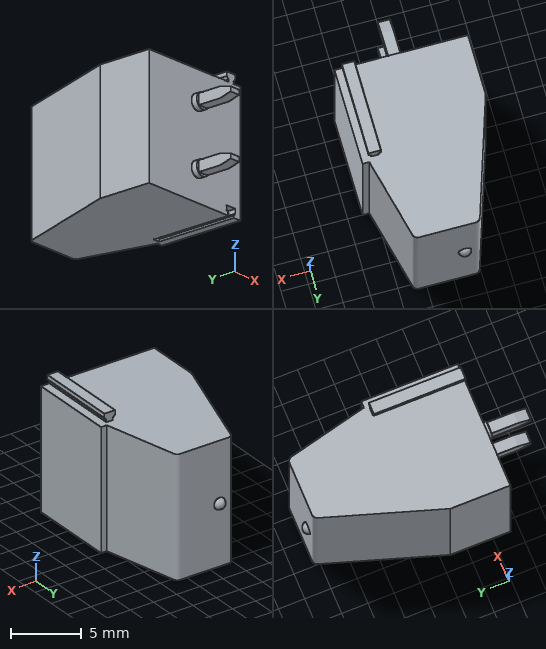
import cadquery as cq

width = 9.8
depth = 13.8
height = 10.16
left_wall_depth = 4.58
right_wall_depth = 7.38
right_ledge = 0.5
back_left_x = 3.01
back_right_x = 7.79
back_corner_radius = 0.4

dovetail_x = 8.8
dovetail_length = 7.01
dovetail_height = 0.75
dovetail_neck_width = 0.57
dovetail_head_width = 0.92
dovetail_neck_height = 0.18
dovetail_head_start = 0.39

pin_x = 5.2
pin_count = 2
pin_pitch = height / pin_count
pin_size = 0.9
pin_length = 3.5
pin_taper_start = 2.51
pin_tip_height = 0.39
collar_diameter = 1.31
collar_length = 0.5

knob_x = 4.09
knob_radius = 0.48
knob_height = 0.39

overlap = 0.18


def make_housing():
    outline = [
        (0, 0),
        (width, 0),
        (width, right_wall_depth),
        (width - right_ledge, right_wall_depth),
        (back_right_x, depth),
        (back_left_x, depth),
        (0, left_wall_depth),
    ]
    body = cq.Workplane("XY").polyline(outline).close().extrude(height)
    return body.edges("|Z and >Y").fillet(back_corner_radius)


def make_dovetail(base_z):
    """Dovetail bar running back from the front face, rising from base_z."""
    neck = dovetail_neck_width / 2
    head = dovetail_head_width / 2
    profile = [
        (-neck, 0),
        (-neck, dovetail_neck_height),
        (-head, dovetail_head_start),
        (-head, dovetail_height),
        (head, dovetail_height),
        (head, dovetail_head_start),
        (neck, dovetail_neck_height),
        (neck, 0),
    ]
    plane = cq.Workplane("XZ", origin=(dovetail_x, 0, base_z))
    return plane.polyline(profile).close().extrude(-dovetail_length)


def make_pin(center_z):
    """Round collar with a square pin whose top and bottom taper to the tip."""
    collar = (
        cq.Workplane("XZ", origin=(pin_x, overlap, center_z))
        .circle(collar_diameter / 2)
        .extrude(collar_length + overlap)
    )
    half = pin_size / 2
    half_tip = pin_tip_height / 2
    side_profile = [
        (overlap, -half),
        (overlap, half),
        (-pin_taper_start, half),
        (-pin_length, half_tip),
        (-pin_length, -half_tip),
        (-pin_taper_start, -half),
    ]
    blade = (
        cq.Workplane("YZ", origin=(pin_x, 0, center_z))
        .polyline(side_profile)
        .close()
        .extrude(half, both=True)
    )
    return collar.union(blade)


def make_knob():
    """Spherical cap with its base circle on the back face."""
    sphere_radius = (knob_radius**2 + knob_height**2) / (2 * knob_height)
    center_y = depth + knob_height - sphere_radius
    return cq.Workplane("XY", origin=(knob_x, center_y, height / 2)).sphere(sphere_radius)


result = make_housing()
result = result.cut(make_dovetail(0))
result = result.union(make_dovetail(height))
for index in range(pin_count):
    result = result.union(make_pin((index + 0.5) * pin_pitch))
result = result.union(make_knob())